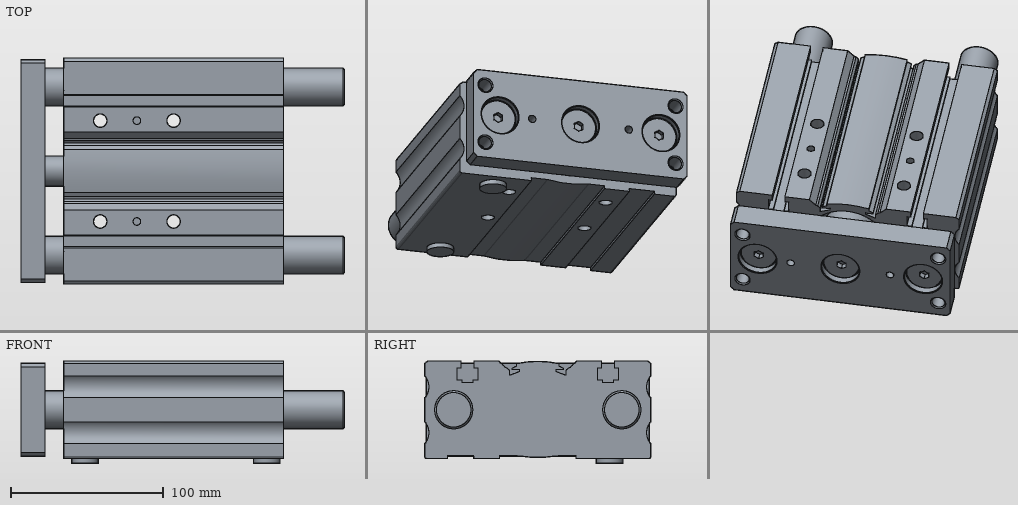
import cadquery as cq
import math


total_length = 212.0
plate_thickness = 16.0
plate_width = 146.0
plate_height = 61.0
plate_chamfer = 2.4
plate_gap = 12.0

housing_length = 144.0
housing_width = 148.0
housing_height = 64.0
top_chamfer_y = 2.2
top_chamfer_z = 1.6
bottom_fillet = 1.5

guide_pitch = 110.0
guide_diameter = 25.0
guide_end_chamfer = 1.2
piston_rod_diameter = 20.0

bore_diameter = 51.5
cover_hub_diameter = 36.0
cover_hub_length = 11.5
cover_flange_thickness = 10.0

side_groove_offset = 15.0
side_groove_width = 14.2
side_groove_depth = 2.8

t_slot_offset = 46.0
t_slot_opening = 8.4
t_slot_lip = 4.6
t_slot_undercut_width = 13.5
t_slot_undercut_height = 8.0
t_slot_relief_width = 7.0
t_slot_relief_depth = 1.5

valley_half_width = 25.5
hump_half_width = 14.0
hump_radius = 67.0
hump_drop = 0.25
hump_step = 1.7
hump_flank_drop = 1.5
switch_slot_valley = 21.3
switch_slot_mouth = 20.0
switch_slot_outer = 18.4
switch_slot_inner = 16.8
switch_slot_undercut = 11.8
switch_slot_mouth_z = 27.3
switch_slot_undercut_z = 26.2
switch_slot_outer_floor_z = 22.6
switch_slot_inner_floor_z = 25.1

bottom_recess_depth = 2.0
bottom_trough_half_width = 25.0
bottom_hump_drop = 0.7
bottom_slot_near = 42.0
bottom_slot_far = 59.0

mount_pitch_y = 66.0
mount_first_x = 24.0
mount_pitch_x = 48.0
mount_hole_diameter = 8.6
dowel_diameter = 5.0
dowel_depth = 8.0

port_boss_diameter = 17.6
port_boss_height = 3.0
port_boss_y = 47.0
front_port_inset = 14.0
rear_port_inset = 11.0

counterbore_mouth_diameter = 26.0
counterbore_diameter = 25.0
counterbore_depth = 5.0
head_diameter = 23.4
head_height = 1.0
socket_across_flats = 6.0
socket_depth = 4.0
tool_hole_pitch_y = 130.0
tool_hole_pitch_z = 40.0
tool_hole_diameter = 8.6
tool_hole_mouth_diameter = 10.2
plate_dowel_pitch = 66.0

housing_front = plate_thickness + plate_gap
housing_rear = housing_front + housing_length
top_z = housing_height / 2
side_y = housing_width / 2
guide_ys = (-guide_pitch / 2, guide_pitch / 2)
cover_flange_front = housing_front + cover_hub_length
head_front = counterbore_depth - head_height
cover_back = cover_flange_front + cover_flange_thickness


def cylinder_along_x(diameter, start_x, length, y=0.0):
    """Round bar parallel to X, centred on the given Y and on Z = 0."""
    plane = cq.Workplane("YZ", origin=(start_x, y, 0))
    return plane.circle(diameter / 2).extrude(length)


def housing_section():
    """Cross-section sketch plane at the front face of the housing."""
    return cq.Workplane("YZ", origin=(housing_front, 0, 0))


def housing_blank():
    block = (
        housing_section()
        .moveTo(-side_y, -top_z)
        .lineTo(side_y, -top_z)
        .lineTo(side_y, top_z - top_chamfer_z)
        .lineTo(side_y - top_chamfer_y, top_z)
        .lineTo(-side_y + top_chamfer_y, top_z)
        .lineTo(-side_y, top_z - top_chamfer_z)
        .close()
        .extrude(housing_length)
    )
    return block.edges("|X and <Z").fillet(bottom_fillet)


def side_grooves():
    """Shallow round grooves, two on each long side."""
    half_width = side_groove_width / 2
    radius = (half_width**2 + side_groove_depth**2) / (2 * side_groove_depth)
    centre_y = side_y - side_groove_depth + radius
    centres = [
        (side * centre_y, level * side_groove_offset) for side in (-1, 1) for level in (-1, 1)
    ]
    return housing_section().pushPoints(centres).circle(radius).extrude(housing_length)


def t_slots():
    """Two T-slots in the top face, each with a narrow relief along its floor."""
    undercut_bottom = t_slot_lip + t_slot_undercut_height
    levels = [
        (t_slot_opening, 0, t_slot_lip),
        (t_slot_undercut_width, t_slot_lip, undercut_bottom),
        (t_slot_relief_width, undercut_bottom, undercut_bottom + t_slot_relief_depth),
    ]
    slots = cq.Workplane("YZ")
    for width, upper_depth, lower_depth in levels:
        centre_z = top_z - (upper_depth + lower_depth) / 2
        centres = [(side * t_slot_offset, centre_z) for side in (-1, 1)]
        level = housing_section().pushPoints(centres).rect(width, lower_depth - upper_depth)
        slots = slots.add(level.extrude(housing_length).vals())
    return slots.combine()


def top_valley():
    """Space above the crowned middle of the top, with a switch slot on each flank."""
    crown_z = top_z - hump_drop
    hump_sag = hump_radius - math.sqrt(hump_radius**2 - hump_half_width**2)
    hump_edge_z = crown_z - hump_sag
    step_z = hump_edge_z - hump_step
    flank_z = step_z - hump_flank_drop
    valley_z = top_z - (valley_half_width - switch_slot_valley)
    mouth_bottom_z = switch_slot_mouth_z - (switch_slot_mouth - switch_slot_outer)
    flank = [
        (valley_half_width, top_z),
        (switch_slot_valley, valley_z),
        (switch_slot_mouth, switch_slot_mouth_z),
        (switch_slot_outer, mouth_bottom_z),
        (switch_slot_outer, switch_slot_outer_floor_z),
        (switch_slot_undercut, switch_slot_inner_floor_z),
        (switch_slot_undercut, switch_slot_undercut_z),
        (switch_slot_inner, switch_slot_undercut_z),
        (switch_slot_inner, flank_z),
        (hump_half_width, step_z),
        (hump_half_width, hump_edge_z),
    ]
    opposite_flank = [(-y, z) for y, z in reversed(flank)]
    return (
        housing_section()
        .polyline(flank)
        .threePointArc((0, crown_z), opposite_flank[0])
        .polyline(opposite_flank, includeCurrent=False)
        .close()
        .extrude(housing_length)
    )


def bottom_recesses():
    """Crowned trough in the middle of the underside and one flat slot beside it."""
    floor_z = -top_z + bottom_recess_depth
    trough = (
        housing_section()
        .moveTo(bottom_trough_half_width, -top_z)
        .lineTo(bottom_trough_half_width, floor_z)
        .lineTo(hump_half_width, floor_z)
        .threePointArc((0, -top_z + bottom_hump_drop), (-hump_half_width, floor_z))
        .lineTo(-bottom_trough_half_width, floor_z)
        .lineTo(-bottom_trough_half_width, -top_z)
        .close()
        .extrude(housing_length)
    )
    slot = (
        housing_section()
        .center(-(bottom_slot_near + bottom_slot_far) / 2, -top_z + bottom_recess_depth / 2)
        .rect(bottom_slot_far - bottom_slot_near, bottom_recess_depth)
        .extrude(housing_length)
    )
    return trough.union(slot)


def mounting_holes():
    """Through holes in two rows, each row with a blind dowel hole midway."""
    first_x = housing_front + mount_first_x
    row_ys = (-mount_pitch_y / 2, mount_pitch_y / 2)
    through = [(x, y) for x in (first_x, first_x + mount_pitch_x) for y in row_ys]
    dowels = [(first_x + mount_pitch_x / 2, y) for y in row_ys]
    top_plane = cq.Workplane("XY", origin=(0, 0, top_z))
    holes = top_plane.pushPoints(through).circle(mount_hole_diameter / 2).extrude(-housing_height)
    return holes.union(top_plane.pushPoints(dowels).circle(dowel_diameter / 2).extrude(-dowel_depth))


def port_bosses():
    """Round bosses under the housing, one near each end."""
    centres = [
        (housing_front + front_port_inset, port_boss_y),
        (housing_rear - rear_port_inset, port_boss_y),
    ]
    underside = cq.Workplane("XY", origin=(0, 0, -top_z))
    return underside.pushPoints(centres).circle(port_boss_diameter / 2).extrude(-port_boss_height)


def make_housing():
    body = housing_blank().union(port_bosses())
    for cutter in (side_grooves(), t_slots(), top_valley(), bottom_recesses(), mounting_holes()):
        body = body.cut(cutter)
    body = body.cut(cylinder_along_x(bore_diameter, housing_front, cover_back - housing_front))
    for y in guide_ys:
        body = body.cut(cylinder_along_x(guide_diameter, housing_front, housing_length, y))
    return body


def make_rod_cover():
    """Flange filling the bore, with a hub that ends flush with the housing front."""
    flange = cylinder_along_x(bore_diameter, cover_flange_front, cover_flange_thickness)
    hub = cylinder_along_x(cover_hub_diameter, housing_front, cover_hub_length)
    rod_hole = cylinder_along_x(piston_rod_diameter, housing_front, cover_back - housing_front)
    return flange.union(hub).cut(rod_hole)


def make_piston_rod():
    return cylinder_along_x(piston_rod_diameter, plate_thickness, cover_back - plate_thickness)


def make_guide_rod(y):
    rod = cylinder_along_x(guide_diameter, plate_thickness, total_length - plate_thickness, y)
    return rod.faces(">X").chamfer(guide_end_chamfer)


def chamfered_hole(y, z, diameter, mouth_diameter, depth):
    """Hole into the plate's outer face with a 45 degree chamfer at its mouth."""
    mouth_depth = (mouth_diameter - diameter) / 2
    profile = [
        (0, 0),
        (0, mouth_diameter / 2),
        (mouth_depth, diameter / 2),
        (depth, diameter / 2),
        (depth, 0),
    ]
    hole = cq.Workplane("XY").polyline(profile).close().revolve(360, (0, 0, 0), (1, 0, 0))
    return hole.translate((0, y, z))


def hex_socket(y):
    """Hexagonal socket in a bolt head, with corners pointing up and down."""
    across_corners = socket_across_flats / math.cos(math.radians(30))
    hexagon = cq.Workplane("YZ").polygon(6, across_corners)
    socket = hexagon.extrude(socket_depth).rotate((0, 0, 0), (1, 0, 0), 30)
    return socket.translate((head_front, y, 0))


def make_plate():
    plate = (
        cq.Workplane("YZ")
        .rect(plate_width, plate_height)
        .extrude(plate_thickness)
        .edges("|X")
        .chamfer(plate_chamfer)
    )
    for y in (*guide_ys, 0.0):
        plate = plate.cut(
            chamfered_hole(y, 0, counterbore_diameter, counterbore_mouth_diameter, counterbore_depth)
        )
        plate = plate.union(cylinder_along_x(head_diameter, head_front, head_height, y))
        plate = plate.cut(hex_socket(y))
    for side in (-1, 1):
        for level in (-1, 1):
            y = side * tool_hole_pitch_y / 2
            z = level * tool_hole_pitch_z / 2
            plate = plate.cut(
                chamfered_hole(y, z, tool_hole_diameter, tool_hole_mouth_diameter, plate_thickness)
            )
        plate = plate.cut(cylinder_along_x(dowel_diameter, 0, plate_thickness, side * plate_dowel_pitch / 2))
    return plate


housing = make_housing()
rod_cover = make_rod_cover()
piston_rod = make_piston_rod()
plate = make_plate()
guide_rods = [make_guide_rod(y) for y in guide_ys]

result = cq.Compound.makeCompound(
    [
        housing.val(),
        rod_cover.val(),
        piston_rod.val(),
        plate.val(),
        *[rod.val() for rod in guide_rods],
    ]
)